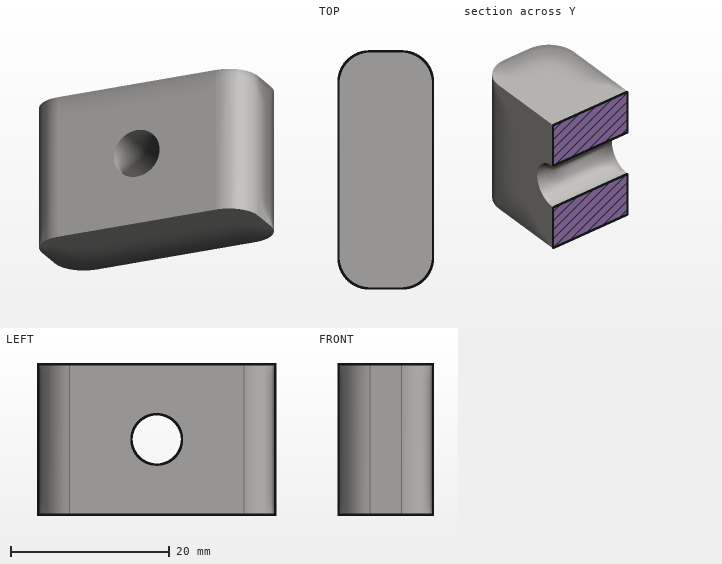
import cadquery as cq

width = 12.0
length = 30.0
height = 19.05

corner_radius = 4.0
hole_diameter = 6.35


def rounded_block():
    """Upright block, centred on the origin, with rounded vertical edges."""
    return cq.Workplane("XY").box(width, length, height).edges("|Z").fillet(corner_radius)


def cross_hole(block):
    """Drill the central hole through the wide sides of the block."""
    return block.faces("<X").workplane(centerOption="CenterOfBoundBox").hole(hole_diameter)


result = cross_hole(rounded_block())